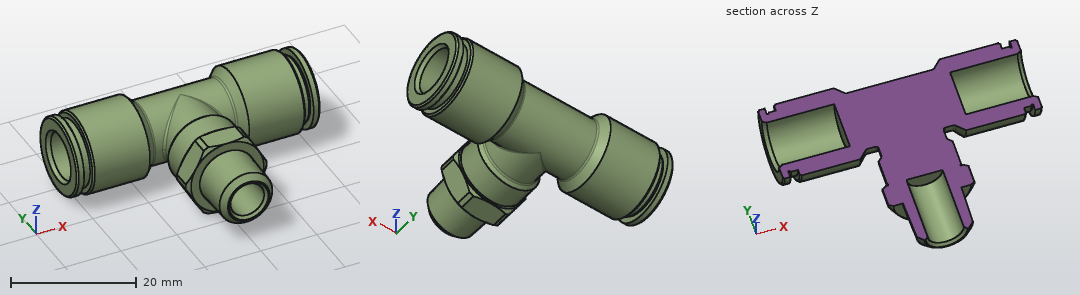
import math

import cadquery as cq

PIPE_RADIUS = 5.5
BEND_FILLET = 0.5
JUNCTION_FILLET = 0.4

SOCKET_RADIUS = 7.0
SHOULDER_X = 8.87
SOCKET_END_X = 19.0
EDGE_CHAMFER = 0.3

NECK_RADIUS = 5.85
NECK_END_X = 20.37
NECK_CHAMFER = 0.25
COLLAR_RADIUS = 6.75
COLLAR_BACK_X = 20.5
COLLAR_FACE_X = 43.51 / 2
TUBE_BORE_RADIUS = 4.08
TUBE_BORE_DEPTH = 12.0
TUBE_BORE_CHAMFER = 0.42
TUBE_BORE_CHAMFER_LENGTH = 0.73

SWIVEL_RADIUS = 6.25
SWIVEL_SHOULDER = 8.25
SWIVEL_CHAMFER = 0.2
HEX_START = 12.9
HEX_LENGTH = 4.0
HEX_FLATS = 13.0
HEX_CORNERS = 14.5
HEX_CHAMFER_ANGLE = 30.0

BRANCH_END = 24.5
THREAD_BASE_RADIUS = 4.94
THREAD_TAPER = 1 / 16
THREAD_CHAMFER = 1.0
THREAD_BORE_RADIUS = 3.0
THREAD_BORE_CHAMFER = 0.5
THREAD_BORE_DEPTH = BRANCH_END - HEX_START

HEX_END = HEX_START + HEX_LENGTH

RUN_ANGLES = (90, -90)
BRANCH_ANGLE = 180


def turned(points):
    """Solid of revolution about Y from (radius, distance) points, starting and ending on the axis."""
    return cq.Workplane("XY").polyline(points).close().revolve(360, (0, 0, 0), (0, 1, 0))


def fillet_foot(body, distance):
    """Round the concave circle at the foot of a shoulder on a body lying along +Y."""
    margin = 0.01
    around_foot = cq.selectors.BoxSelector(
        (-SOCKET_RADIUS, distance - margin, -SOCKET_RADIUS),
        (SOCKET_RADIUS, distance + margin, SOCKET_RADIUS),
        boundingbox=True,
    )
    return body.edges(around_foot).fillet(BEND_FILLET)


def shouldered_pipe(shoulder, radius, end, end_chamfer):
    """Pipe from the centre that widens through a 45 degree shoulder and ends in a chamfer."""
    foot = shoulder - (radius - PIPE_RADIUS)
    body = turned([
        (0, 0),
        (PIPE_RADIUS, 0),
        (PIPE_RADIUS, foot),
        (radius, shoulder),
        (radius, end - end_chamfer),
        (radius - end_chamfer, end),
        (0, end),
    ])
    return fillet_foot(body, foot)


def bore_cutter(radius, chamfer_width, chamfer_length, face, depth):
    """Blind round hole entering from the given face distance, with a chamfered mouth."""
    return turned([
        (0, face - depth),
        (radius, face - depth),
        (radius, face - chamfer_length),
        (radius + chamfer_width, face),
        (0, face),
    ])


def release_collar():
    """Neck and flanged collar at the mouth of a tube socket."""
    stem_radius = NECK_RADIUS - NECK_CHAMFER
    return turned([
        (0, SHOULDER_X),
        (NECK_RADIUS, SHOULDER_X),
        (NECK_RADIUS, NECK_END_X - NECK_CHAMFER),
        (stem_radius, NECK_END_X),
        (stem_radius, COLLAR_BACK_X),
        (COLLAR_RADIUS, COLLAR_BACK_X),
        (COLLAR_RADIUS, COLLAR_FACE_X - EDGE_CHAMFER),
        (COLLAR_RADIUS - EDGE_CHAMFER, COLLAR_FACE_X),
        (0, COLLAR_FACE_X),
    ])


def hexagon():
    """Wrench hexagon with turned corners and both end faces chamfered, flats facing +Z and -Z."""
    flat_radius = HEX_FLATS / 2
    corner_radius = HEX_CORNERS / 2
    chamfer_length = (corner_radius - flat_radius) * math.tan(math.radians(HEX_CHAMFER_ANGLE))
    prism = (
        cq.Workplane("XZ", origin=(0, HEX_END, 0))
        .polygon(6, HEX_FLATS / math.cos(math.pi / 6))
        .extrude(HEX_LENGTH)
    )
    envelope = turned([
        (0, HEX_START),
        (flat_radius, HEX_START),
        (corner_radius, HEX_START + chamfer_length),
        (corner_radius, HEX_END - chamfer_length),
        (flat_radius, HEX_END),
        (0, HEX_END),
    ])
    return prism.intersect(envelope)


def thread_stub():
    """Tapered stub with a chamfered tip."""
    tip_start = BRANCH_END - THREAD_CHAMFER
    tip_radius = THREAD_BASE_RADIUS - (tip_start - HEX_END) * THREAD_TAPER / 2
    return turned([
        (0, HEX_START),
        (THREAD_BASE_RADIUS, HEX_START),
        (THREAD_BASE_RADIUS, HEX_END),
        (tip_radius, tip_start),
        (tip_radius - THREAD_CHAMFER, BRANCH_END),
        (0, BRANCH_END),
    ])


def aimed(body, angle):
    """Turn a body lying along +Y about the Z axis."""
    return body.rotate((0, 0, 0), (0, 0, 1), angle)


def tee_body():
    """Two sockets and the swivel branch, rounded where the branch meets the run."""
    socket = shouldered_pipe(SHOULDER_X, SOCKET_RADIUS, SOCKET_END_X, EDGE_CHAMFER)
    branch = shouldered_pipe(SWIVEL_SHOULDER, SWIVEL_RADIUS, HEX_START, SWIVEL_CHAMFER)
    tee = aimed(branch, BRANCH_ANGLE)
    for angle in RUN_ANGLES:
        tee = tee.union(aimed(socket, angle))
    return tee.clean().edges("%ELLIPSE").fillet(JUNCTION_FILLET)


result = tee_body()
for angle in RUN_ANGLES:
    result = result.union(aimed(release_collar(), angle))
result = result.union(aimed(hexagon().union(thread_stub()), BRANCH_ANGLE))

tube_bore = bore_cutter(
    TUBE_BORE_RADIUS, TUBE_BORE_CHAMFER, TUBE_BORE_CHAMFER_LENGTH, COLLAR_FACE_X, TUBE_BORE_DEPTH
)
thread_bore = bore_cutter(
    THREAD_BORE_RADIUS, THREAD_BORE_CHAMFER, THREAD_BORE_CHAMFER, BRANCH_END, THREAD_BORE_DEPTH
)
for angle in RUN_ANGLES:
    result = result.cut(aimed(tube_bore, angle))
result = result.cut(aimed(thread_bore, BRANCH_ANGLE))